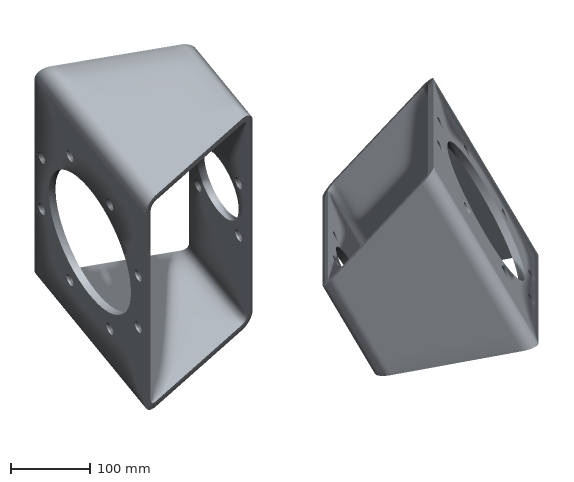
import cadquery as cq

height = 400.0
depth = 200.0
front_width = 270.0
back_width = front_width / 2
wall = 10.0
outer_radius = 20.0
inner_radius = outer_radius - wall

bolt_diameter = 17.0
front_bore = 200.0
front_bolt_circle = 254.0
front_bolt_count = 8
back_bore = 100.0
back_bolt_circle = 140.0
back_bolt_count = 4

front_face = -depth / 2
back_face = depth / 2


def rounded_bar(size_y, size_z, radius):
    """Bar along X with rounded long edges."""
    return cq.Workplane("XY").box(front_width, size_y, size_z).edges("|X").fillet(radius)


def flange_cutter(face_y, bore, bolt_circle, bolt_count):
    """Bore and evenly spaced bolt holes through the wall whose outer face is at face_y."""
    plane = cq.Workplane("XZ", origin=(0, face_y + wall, 0))
    bolt_step = 360 / bolt_count
    bolts = (
        plane.polarArray(bolt_circle / 2, bolt_step / 2, 360, bolt_count)
        .circle(bolt_diameter / 2)
        .extrude(2 * wall)
    )
    return plane.circle(bore / 2).extrude(2 * wall).union(bolts)


tube = rounded_bar(depth, height, outer_radius).cut(
    rounded_bar(depth - 2 * wall, height - 2 * wall, inner_radius)
)

taper = (
    cq.Workplane("XY", origin=(0, 0, -height / 2))
    .polyline([
        (-front_width / 2, front_face),
        (front_width / 2, front_face),
        (back_width / 2, back_face),
        (-back_width / 2, back_face),
    ])
    .close()
    .extrude(height)
)
body = tube.intersect(taper)

body = body.cut(flange_cutter(front_face, front_bore, front_bolt_circle, front_bolt_count))
result = body.cut(flange_cutter(back_face, back_bore, back_bolt_circle, back_bolt_count))